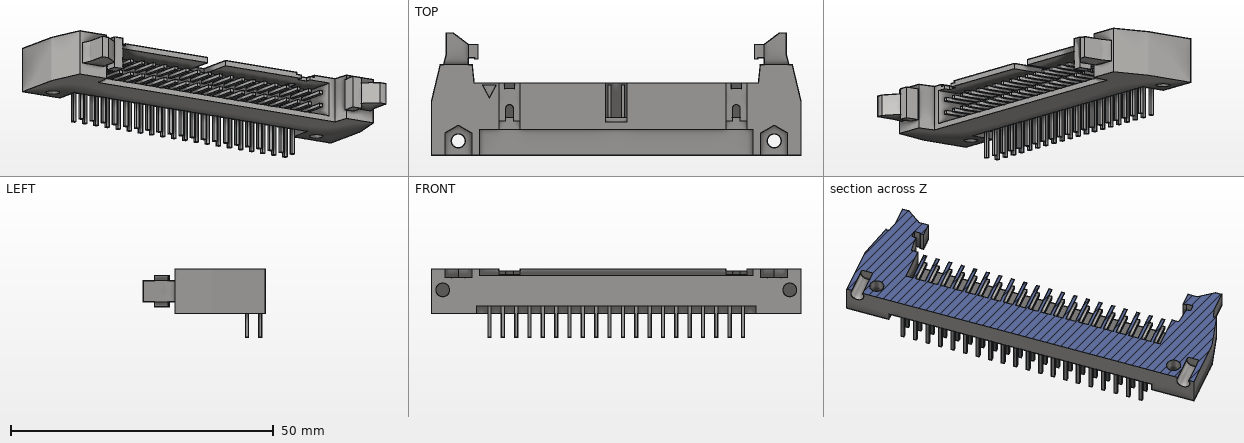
import cadquery as cq
import math


half_length = 35.2
body_height = 8.5
mid_height = body_height / 2
mating_face_y = 13.8
ear_end_y = 17.25
ear_taper_start_y = 10.15
ear_tip_outer_x = 33.5
ear_tip_inner_x = 27.4
ear_root_inner_x = 27.0

wall = 1.05
cavity_back_y = 7.2
cavity_half_width = 25.7
ceiling_z = body_height - wall

shelf_depth = 4.9
shelf_half_width = 26.0
shelf_drop = 1.3
relief_half_width = 26.6
relief_height = 1.5

notch_width = 4.1
notch_rear_y = 6.35

left_channel_pitches = -8
right_channel_pitches = 9
channel_width = 4.0
channel_drop = 0.39
channel_step_y = 6.55
slot_width = 1.5
slot_end_y = 9.65
gap_width = 2.0
gap_length = 1.1

hole_diameter = 2.6
mount_x = 30.05
mount_y = 2.75
nut_width = 5.15
nut_pocket_depth = 1.7
hex_half_angle = math.radians(30)
rear_hole_x = 33.0
rear_hole_z = 4.5
rear_hole_depth = 5.6

mark_x = -24.15
mark_base_y = 13.4
mark_width = 2.6
mark_length = 2.45
mark_depth = 0.2

lever_end_y = 23.3
lever_thickness = 4.0
lever_inner_x = 28.15
lever_outer_x = 32.4
lever_root_outer_x = 32.9
lever_bend_y = 19.1
lever_tip_x = 31.05
hook_thickness = 6.0
hook_tip_x = 26.25
hook_top_y = 21.1
hook_bottom_y = 18.5
hook_lip_y = 18.3
hook_lip_width = 0.7

pins_per_row = 20
row_span = 48.2
pitch = row_span / (pins_per_row - 1)
pin_size = 0.6
tail_length = 4.5
front_tail_y = 3.5
contact_tip_y = 13.4

embed = 0.7


def block(x0, x1, y0, y1, z0, z1):
    """Box between two opposite corners."""
    return cq.Workplane("XY").box(x1 - x0, y1 - y0, z1 - z0, centered=False).translate((x0, y0, z0))


def slab(points, z0, z1):
    """Closed XY outline extruded from z0 to z1."""
    return cq.Workplane("XY").workplane(offset=z0).polyline(points).close().extrude(z1 - z0)


def both_ends(shape):
    """The shape together with its mirror image at the other end."""
    return shape.union(shape.mirror("YZ"))


def housing():
    right_edge = [
        (half_length, 0),
        (half_length, ear_taper_start_y),
        (ear_tip_outer_x, ear_end_y),
        (ear_tip_inner_x, ear_end_y),
        (ear_root_inner_x, mating_face_y),
    ]
    left_edge = [(-x, y) for x, y in reversed(right_edge)]
    return slab(right_edge + left_edge, 0, body_height)


def cavity():
    return block(-cavity_half_width, cavity_half_width, cavity_back_y, mating_face_y, wall, ceiling_z)


def shelf_cut():
    return block(-shelf_half_width, shelf_half_width, 0, shelf_depth, body_height - shelf_drop, body_height)


def relief_cut():
    return block(-relief_half_width, relief_half_width, 0, shelf_depth, 0, relief_height)


def notch_cut():
    return block(-notch_width / 2, notch_width / 2, notch_rear_y, mating_face_y, ceiling_z, body_height)


def channel_cut(center_x):
    """Shallow channel, its deeper rear end, the round-ended slot and the gap at the mating face."""
    left = center_x - channel_width / 2
    right = center_x + channel_width / 2
    arc_y = slot_end_y - slot_width / 2
    shallow = block(left, right, shelf_depth, mating_face_y, body_height - channel_drop, body_height)
    deep = block(left, right, shelf_depth, channel_step_y, ceiling_z, body_height)
    slot = (
        cq.Workplane("XY")
        .workplane(offset=ceiling_z)
        .moveTo(center_x - slot_width / 2, channel_step_y)
        .lineTo(center_x + slot_width / 2, channel_step_y)
        .lineTo(center_x + slot_width / 2, arc_y)
        .threePointArc((center_x, slot_end_y), (center_x - slot_width / 2, arc_y))
        .close()
        .extrude(wall)
    )
    gap = block(
        center_x - gap_width / 2, center_x + gap_width / 2,
        mating_face_y - gap_length, mating_face_y,
        ceiling_z, body_height,
    )
    return shallow.union(deep).union(slot).union(gap)


def mounting_cut():
    """Through hole under a nut pocket that opens at the rear face."""
    half = nut_width / 2
    shoulder_y = mount_y + half * math.tan(hex_half_angle)
    apex_y = mount_y + half / math.cos(hex_half_angle)
    pocket_outline = [
        (mount_x - half, 0),
        (mount_x + half, 0),
        (mount_x + half, shoulder_y),
        (mount_x, apex_y),
        (mount_x - half, shoulder_y),
    ]
    pocket = slab(pocket_outline, body_height - nut_pocket_depth, body_height)
    hole = cq.Workplane("XY").center(mount_x, mount_y).circle(hole_diameter / 2).extrude(body_height)
    return pocket.union(hole)


def rear_hole_cut():
    profile = cq.Workplane("XZ").center(rear_hole_x, rear_hole_z).circle(hole_diameter / 2)
    return profile.extrude(-rear_hole_depth)


def pin_one_mark():
    triangle = [
        (mark_x - mark_width / 2, mark_base_y),
        (mark_x + mark_width / 2, mark_base_y),
        (mark_x, mark_base_y - mark_length),
    ]
    return slab(triangle, body_height - mark_depth, body_height)


def lever():
    arm_outline = [
        (lever_inner_x, ear_end_y - embed),
        (lever_root_outer_x, ear_end_y - embed),
        (lever_root_outer_x, ear_end_y),
        (lever_outer_x, lever_bend_y),
        (lever_outer_x, lever_end_y),
        (lever_tip_x, lever_end_y),
        (lever_inner_x, hook_top_y),
    ]
    hook_outline = [
        (lever_inner_x, hook_bottom_y),
        (lever_inner_x, hook_top_y),
        (hook_tip_x, hook_top_y),
        (hook_tip_x, hook_lip_y),
        (hook_tip_x + hook_lip_width, hook_lip_y),
        (hook_tip_x + hook_lip_width, hook_bottom_y),
    ]
    arm = slab(arm_outline, mid_height - lever_thickness / 2, mid_height + lever_thickness / 2)
    hook = slab(hook_outline, mid_height - hook_thickness / 2, mid_height + hook_thickness / 2)
    return arm.union(hook)


def solder_tails(y):
    """One row of vertical tails below the housing."""
    length = tail_length + relief_height + embed
    centers = cq.Workplane("XY").workplane(offset=-tail_length).center(0, y)
    return centers.rarray(pitch, 0.7, pins_per_row, 1).rect(pin_size, pin_size).extrude(length)


def contacts():
    """Two rows of contacts standing on the back wall of the cavity."""
    start_y = cavity_back_y - embed
    centers = cq.Workplane("XZ", origin=(0, start_y, mid_height)).rarray(pitch, pitch, pins_per_row, 2)
    return centers.rect(pin_size, pin_size).extrude(start_y - contact_tip_y)


body = housing()
for cut in (cavity(), shelf_cut(), relief_cut(), notch_cut(), pin_one_mark()):
    body = body.cut(cut)
for pitches in (left_channel_pitches, right_channel_pitches):
    body = body.cut(channel_cut(pitches * pitch))
for end_cut in (mounting_cut(), rear_hole_cut()):
    body = body.cut(both_ends(end_cut))

result = body.union(both_ends(lever())).union(contacts())
for tail_y in (front_tail_y, front_tail_y - pitch):
    result = result.union(solder_tails(tail_y))